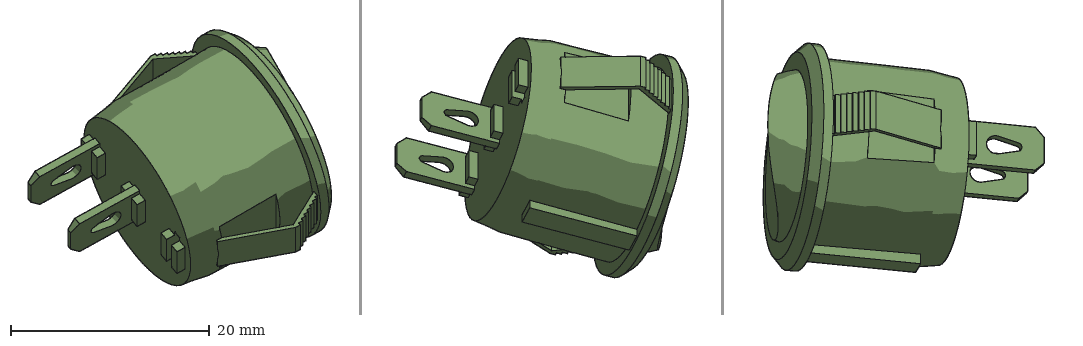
import cadquery as cq
import math


flange_diameter = 23.0
flange_thickness = 2.0
flange_chamfer = 1.0

barrel_front_diameter = 20.25
barrel_rear_diameter = 19.98
lead_in_end_diameter = 19.05
lead_in_start_y = -11.53
rear_face_y = -14.53

flat_half_spacing = 9.35
flat_front_y = -4.02
flat_rear_y = -10.93

key_width = 2.2
key_bottom_z = -11.0

ball_diameter = 17.9
ball_radius = ball_diameter / 2
rocker_peak_y = 5.7
rocker_peak_x = -math.sqrt(ball_radius**2 - rocker_peak_y**2)
rocker_low_y = 2.2
rocker_low_x = math.sqrt(ball_radius**2 - rocker_low_y**2)
thumb_curve_middle = [(-3.42, 3.95), (0, 3.0), (4.28, 2.45)]

clip_width = 4.22
clip_span = 25.85
clip_tip_x = clip_span / 2
clip_tip_y = -4.05
clip_thickness = 0.43
clip_rear_x = 9.95
clip_front_x = 10.25
tooth_count = 7
toothed_length = 3.75
toothed_depth = 2.05
tooth_pitch = toothed_length / tooth_count
tooth_step = toothed_depth / tooth_count
first_tooth_y = -3.48

terminal_spacing = 7.1
terminal_thickness = 0.85
terminal_tip_thickness = 0.5
terminal_width = 4.75
terminal_tip_chamfer = 0.97
terminal_end_y = -22.83
eyelet_large_radius = 1.0
eyelet_small_radius = 0.45
eyelet_large_y = -17.8
eyelet_small_y = -20.0
guide_width = 1.0
guide_height = 3.7
guide_length = 1.0
empty_slot_depth = 3.0


def block(x_range, y_range, z_range):
    """Box between the given limits."""
    size = [limits[1] - limits[0] for limits in (x_range, y_range, z_range)]
    corner = (x_range[0], y_range[0], z_range[0])
    return cq.Workplane("XY").box(*size, centered=False).translate(corner)


def make_housing():
    """Flange, barrel and lead-in cone turned about Y, with the clip flats and the key."""
    flange_radius = flange_diameter / 2
    housing = (
        cq.Workplane("XY")
        .moveTo(0, flange_thickness)
        .lineTo(flange_radius - flange_chamfer, flange_thickness)
        .lineTo(flange_radius, flange_thickness - flange_chamfer)
        .lineTo(flange_radius, 0)
        .lineTo(barrel_front_diameter / 2, 0)
        .lineTo(barrel_rear_diameter / 2, lead_in_start_y)
        .lineTo(lead_in_end_diameter / 2, rear_face_y)
        .lineTo(0, rear_face_y)
        .close()
        .revolve(360, (0, 0, 0), (0, 1, 0))
    )
    barrel_radius = barrel_front_diameter / 2
    recess = block(
        (flat_half_spacing, barrel_radius),
        (flat_rear_y, flat_front_y),
        (-barrel_radius, barrel_radius),
    )
    key = block((-key_width / 2, key_width / 2), (lead_in_start_y, 0), (key_bottom_z, 0))
    return housing.cut(recess).cut(recess.mirror("YZ")).union(key)


def make_rocker():
    """Front half of the ball, trimmed by the concave thumb surface."""
    ball = cq.Workplane("XY").sphere(ball_radius)
    below_thumb_surface = (
        cq.Workplane("XY")
        .moveTo(-ball_radius, 0)
        .lineTo(-ball_radius, rocker_peak_y)
        .lineTo(rocker_peak_x, rocker_peak_y)
        .spline(thumb_curve_middle + [(rocker_low_x, rocker_low_y)], includeCurrent=True)
        .lineTo(ball_radius, rocker_low_y)
        .lineTo(ball_radius, 0)
        .close()
        .extrude(ball_radius, both=True)
    )
    return ball.intersect(below_thumb_surface)


def make_right_clip():
    """Bent leaf spring with a toothed front leg; it starts at the flange."""
    outline = [
        (clip_front_x, 0),
        (clip_tip_x - clip_thickness, clip_tip_y),
        (clip_rear_x - clip_thickness, lead_in_start_y),
        (clip_rear_x, lead_in_start_y),
        (clip_tip_x, clip_tip_y),
    ]
    for tooth in range(tooth_count):
        tooth_y = first_tooth_y + tooth * tooth_pitch
        tooth_x = clip_tip_x - tooth * tooth_step
        outline.append((tooth_x, tooth_y))
        outline.append((tooth_x - tooth_step, tooth_y))
    outline.append((clip_tip_x - tooth_count * tooth_step, 0))
    return cq.Workplane("XY").polyline(outline).close().extrude(clip_width / 2, both=True)


def make_eyelet():
    """Teardrop hole cutter: two circles joined by their common tangents, along X."""
    centre_distance = eyelet_large_y - eyelet_small_y
    tangent_angle = math.asin((eyelet_large_radius - eyelet_small_radius) / centre_distance)
    along = -math.sin(tangent_angle)
    across = math.cos(tangent_angle)

    def tangent_point(centre_y, radius, side):
        return (centre_y + radius * along, side * radius * across)

    return (
        cq.Workplane("YZ")
        .moveTo(*tangent_point(eyelet_large_y, eyelet_large_radius, 1))
        .threePointArc(
            (eyelet_large_y + eyelet_large_radius, 0),
            tangent_point(eyelet_large_y, eyelet_large_radius, -1),
        )
        .lineTo(*tangent_point(eyelet_small_y, eyelet_small_radius, -1))
        .threePointArc(
            (eyelet_small_y - eyelet_small_radius, 0),
            tangent_point(eyelet_small_y, eyelet_small_radius, 1),
        )
        .close()
        .extrude(terminal_thickness, both=True)
    )


def tapered_blade(width, tip_width, plane, depth):
    """Blade along -Y, drawn on plane, whose last stretch narrows from width to tip_width."""
    taper_y = terminal_end_y + terminal_tip_chamfer
    half_outline = [(width / 2, rear_face_y), (width / 2, taper_y), (tip_width / 2, terminal_end_y)]
    outline = half_outline + [(-across, y) for across, y in reversed(half_outline)]
    if plane == "YZ":
        outline = [(y, across) for across, y in outline]
    return cq.Workplane(plane).polyline(outline).close().extrude(depth / 2, both=True)


def make_terminal():
    """Flat terminal with a bevelled tip and a teardrop eyelet."""
    tip_width = terminal_width - 2 * terminal_tip_chamfer
    thickness_taper = tapered_blade(terminal_thickness, terminal_tip_thickness, "XY", terminal_width)
    width_taper = tapered_blade(terminal_width, tip_width, "YZ", terminal_thickness)
    return thickness_taper.intersect(width_taper).cut(make_eyelet())


def make_guides():
    """Pair of blocks on the rear face, one on each side of a terminal position."""
    right_guide = block(
        (terminal_thickness / 2, terminal_thickness / 2 + guide_width),
        (rear_face_y - guide_length, rear_face_y),
        (-guide_height / 2, guide_height / 2),
    )
    return right_guide.union(right_guide.mirror("YZ"))


def make_empty_slot():
    """Cutter for the terminal position that is left without a terminal."""
    return block(
        (-terminal_thickness / 2, terminal_thickness / 2),
        (rear_face_y, rear_face_y + empty_slot_depth),
        (-terminal_width / 2, terminal_width / 2),
    )


right_clip = make_right_clip()
result = make_housing().union(make_rocker()).union(right_clip).union(right_clip.mirror("YZ"))

for position_x in (-terminal_spacing, 0, terminal_spacing):
    result = result.union(make_guides().translate((position_x, 0, 0)))

for position_x in (-terminal_spacing, 0):
    result = result.union(make_terminal().translate((position_x, 0, 0)))

result = result.cut(make_empty_slot().translate((terminal_spacing, 0, 0)))